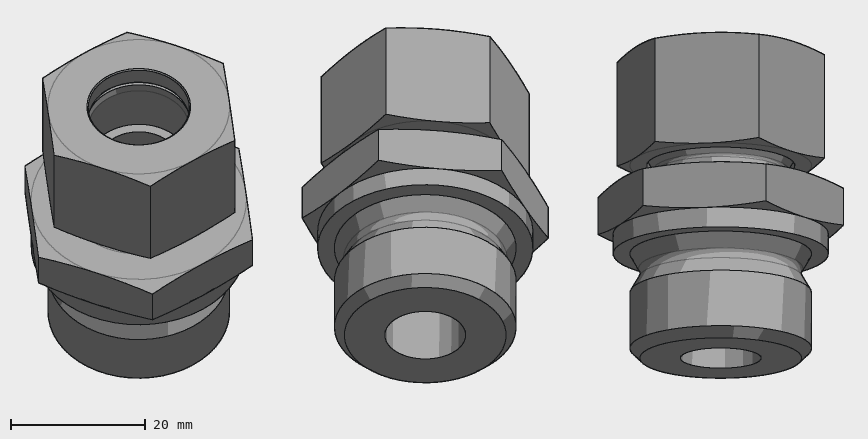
import cadquery as cq
import math


TOTAL_HEIGHT = 46.5
HEX_CHAMFER_ANGLE = 15.0
GROOVE_ANGLE = 30.0

through_bore_diameter = 12.0
stud_diameter = 27.0
stud_chamfer = 1.5
groove_bottom_z = 10.0
collar_diameter = 32.0
collar_bottom_z = 16.0
groove_root_radius = 1.5
body_hex_flats = 32.0
body_hex_bottom_z = 19.0
body_hex_top_z = 26.0
neck_diameter = 19.7
neck_root_radius = 1.0
neck_flare_start_z = 28.35
nut_thread_diameter = 22.0
body_top_z = 39.05

nut_hex_flats = 27.0
nut_bottom_z = 29.55
tube_diameter = 15.0
nut_mouth_chamfer = 0.2
nut_shoulder_z = 43.7

ring_outer_diameter = 16.35
ring_bottom_z = 34.4
ring_top_z = 42.85
ring_mouth_diameter = 15.45
ring_mouth_depth = 1.05


def cylinder(diameter, bottom_z, top_z):
    """Cylinder on the Z axis between two heights."""
    return cq.Workplane("XY").workplane(offset=bottom_z).circle(diameter / 2).extrude(top_z - bottom_z)


def cone(bottom_diameter, top_diameter, bottom_z, top_z):
    """Truncated cone on the Z axis between two heights."""
    profile = [
        (0, bottom_z),
        (bottom_diameter / 2, bottom_z),
        (top_diameter / 2, top_z),
        (0, top_z),
    ]
    return cq.Workplane("XZ").polyline(profile).close().revolve(360, (0, 0), (0, 1))


def chamfered_hex(flats, bottom_z, top_z):
    """Hexagonal prism with flats facing +X and -X and conical chamfers on the corners of both ends."""
    corner_diameter = flats / math.cos(math.radians(30))
    prism = (
        cq.Workplane("XY").workplane(offset=bottom_z)
        .transformed(rotate=(0, 0, 30))
        .polygon(6, corner_diameter)
        .extrude(top_z - bottom_z)
    )
    end_radius = flats / 2
    corner_radius = corner_diameter / 2
    overhang = 0.45
    rim_radius = corner_radius + overhang
    chamfer_drop = (rim_radius - end_radius) * math.tan(math.radians(HEX_CHAMFER_ANGLE))
    envelope = (
        cq.Workplane("XZ")
        .polyline([
            (0, bottom_z),
            (end_radius, bottom_z),
            (rim_radius, bottom_z + chamfer_drop),
            (rim_radius, top_z - chamfer_drop),
            (end_radius, top_z),
            (0, top_z),
        ])
        .close()
        .revolve(360, (0, 0), (0, 1))
    )
    return prism.intersect(envelope)


def stud():
    """Screw-in end: chamfered stud, V-groove with a rounded root, and the sealing collar."""
    slope = math.radians(GROOVE_ANGLE)
    stud_radius = stud_diameter / 2
    collar_radius = collar_diameter / 2
    groove_mid_z = (groove_bottom_z + collar_bottom_z) / 2
    groove_half_width = (collar_bottom_z - groove_bottom_z) / 2
    sharp_root_radius = stud_radius - groove_half_width * math.tan(slope)
    arc_center_radius = sharp_root_radius + groove_root_radius / math.cos(slope)
    arc_end_radius = arc_center_radius - groove_root_radius * math.cos(slope)
    arc_half_height = groove_root_radius * math.sin(slope)
    return (
        cq.Workplane("XZ")
        .moveTo(0, 0)
        .lineTo(stud_radius - stud_chamfer, 0)
        .lineTo(stud_radius, stud_chamfer)
        .lineTo(stud_radius, groove_bottom_z)
        .lineTo(arc_end_radius, groove_mid_z - arc_half_height)
        .threePointArc(
            (arc_center_radius - groove_root_radius, groove_mid_z),
            (arc_end_radius, groove_mid_z + arc_half_height),
        )
        .lineTo(stud_radius, collar_bottom_z)
        .lineTo(collar_radius, collar_bottom_z)
        .lineTo(collar_radius, body_hex_bottom_z)
        .lineTo(0, body_hex_bottom_z)
        .close()
        .revolve(360, (0, 0), (0, 1))
    )


def nut_end():
    """Nut end: neck filleted into the hexagon, flaring through a rounded root to the thread cylinder."""
    slope = math.radians(GROOVE_ANGLE)
    neck_radius = neck_diameter / 2
    thread_radius = nut_thread_diameter / 2
    arc_center_radius = neck_radius + neck_root_radius
    diagonal = neck_root_radius * math.sqrt(0.5)
    fillet_top_z = body_hex_top_z + neck_root_radius

    def flare_arc_point(angle):
        return (
            arc_center_radius - neck_root_radius * math.cos(angle),
            neck_flare_start_z + neck_root_radius * math.sin(angle),
        )

    flare_start_radius, flare_start_z = flare_arc_point(slope)
    flare_top_z = flare_start_z + (thread_radius - flare_start_radius) / math.tan(slope)
    return (
        cq.Workplane("XZ")
        .moveTo(0, body_hex_top_z)
        .lineTo(arc_center_radius, body_hex_top_z)
        .threePointArc(
            (arc_center_radius - diagonal, fillet_top_z - diagonal),
            (neck_radius, fillet_top_z),
        )
        .lineTo(neck_radius, neck_flare_start_z)
        .threePointArc(flare_arc_point(slope / 2), flare_arc_point(slope))
        .lineTo(thread_radius, flare_top_z)
        .lineTo(thread_radius, body_top_z)
        .lineTo(0, body_top_z)
        .close()
        .revolve(360, (0, 0), (0, 1))
    )


def make_fitting_body():
    """Stud, hexagon and nut end in one piece, bored through, with a seat for the cutting ring."""
    hexagon = chamfered_hex(body_hex_flats, body_hex_bottom_z, body_hex_top_z)
    through_bore = cylinder(through_bore_diameter, 0, body_top_z)
    ring_seat = cylinder(ring_outer_diameter, ring_bottom_z, body_top_z)
    return stud().union(hexagon).union(nut_end()).cut(through_bore).cut(ring_seat)


def make_union_nut():
    """Hexagon nut: thread bore below, ring pocket above it, and a chamfered tube hole at the top."""
    thread_bore = cylinder(nut_thread_diameter, nut_bottom_z, body_top_z)
    ring_pocket = cylinder(ring_outer_diameter, body_top_z, nut_shoulder_z)
    tube_hole = cylinder(tube_diameter, nut_shoulder_z, TOTAL_HEIGHT)
    mouth_diameter = tube_diameter + 2 * nut_mouth_chamfer
    mouth = cone(tube_diameter, mouth_diameter, TOTAL_HEIGHT - nut_mouth_chamfer, TOTAL_HEIGHT)
    hexagon = chamfered_hex(nut_hex_flats, nut_bottom_z, TOTAL_HEIGHT)
    return hexagon.cut(thread_bore).cut(ring_pocket).cut(tube_hole).cut(mouth)


def make_cutting_ring():
    """Sleeve around the tube with a slightly tapered mouth at its top."""
    sleeve = cylinder(ring_outer_diameter, ring_bottom_z, ring_top_z)
    bore = cylinder(tube_diameter, ring_bottom_z, ring_top_z)
    mouth = cone(tube_diameter, ring_mouth_diameter, ring_top_z - ring_mouth_depth, ring_top_z)
    return sleeve.cut(bore).cut(mouth)


fitting_body = make_fitting_body()
union_nut = make_union_nut()
cutting_ring = make_cutting_ring()

result = cq.Compound.makeCompound([
    fitting_body.solids().val(),
    union_nut.solids().val(),
    cutting_ring.solids().val(),
])